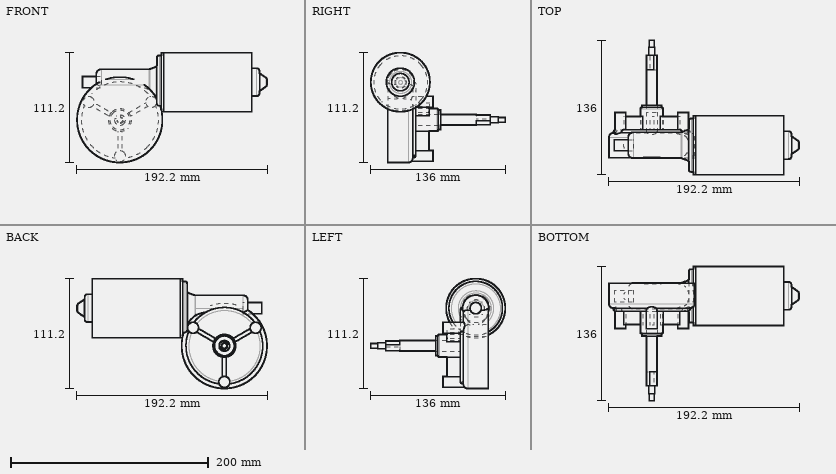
import cadquery as cq
import math


overall_length = 192.2

drum_radius = 43.2
drum_drop = 38.0
drum_front = -12.9
drum_shoulder = 12.5
rim_fillet = 4.5
plateau_radius = drum_radius - rim_fillet
plateau_back = 15.8
plateau_fillet = 2.9

tube_radius = 26.3 / 2
tube_start = -23.8
tube_fillet = 5.2
flare_start = 29.8
flare_end = 36.3
flare_radius = 15.5
flare_root_fillet = 2.0
flare_foot_radius = 17.9

flange_face = 37.5
flange_radius = 27.1
flange_fillet = 2.3
flange_step = 42.0
flange_back = 44.5

can_radius = 30.0
can_end = 133.5
tail_radius = 14.2
tail_end = 141.3
tail_fillet = 3.0
cone_start = 141.6
cone_radius = 8.8
cone_tip_radius = 3.8
cone_tip_fillet = 3.5
motor_end = overall_length - drum_radius

post_count = 3
first_post_angle = 30
post_circle_radius = 36.5
post_radius = 5.5
post_end = 33.0
rib_thickness = 4.0
rib_end = 29.0
boss_radius = 11.5
boss_end = 38.2
boss_fillet = 1.3
collar_radius = 10.0
collar_end = 40.5

shaft_radius = 10.8 / 2
shaft_end = 90.9
neck_radius = 6.3 / 2
neck_end = 99.0
tip_radius = 5.2 / 2
tip_end = 106.0
flat_start = 76.5
flat_width = 7.0
flat_angle = first_post_angle + 90

worm_radius = 5.8
worm_start = -37.9
worm_seat = tube_start + tube_fillet


def gearbox_cylinder(radius, y_start, y_end):
    """Cylinder on the gearbox centre, along Y."""
    return (
        cq.Workplane("XZ", origin=(0, y_start, -drum_drop))
        .circle(radius)
        .extrude(y_start - y_end)
    )


def motor_cylinder(radius, x_start, x_end):
    """Cylinder on the motor axis, along X."""
    return cq.Workplane("YZ", origin=(x_start, 0, 0)).circle(radius).extrude(x_end - x_start)


def turn_about_gearbox(shape, angle):
    """Turn a shape about the gearbox centre, positive from +X towards +Z."""
    return shape.rotate((0, 0, -drum_drop), (0, -1, -drum_drop), angle)


def make_drum():
    """Round gearbox body with a rounded rim and a raised back."""
    rim = gearbox_cylinder(drum_radius, drum_front, drum_shoulder).faces(">Y").edges().fillet(rim_fillet)
    plateau = gearbox_cylinder(plateau_radius, drum_front, plateau_back)
    plateau = plateau.faces(">Y").edges().fillet(plateau_fillet)
    return rim.union(plateau)


def make_tube_and_flange():
    """Worm tube, flare and motor flange turned about the motor axis."""
    tube_middle = tube_fillet * (1 - math.sqrt(0.5))
    flange_middle = flange_fillet * (1 - math.sqrt(0.5))
    profile = (
        cq.Workplane("XY")
        .moveTo(tube_start, 0)
        .lineTo(tube_start, tube_radius - tube_fillet)
        .threePointArc(
            (tube_start + tube_middle, tube_radius - tube_middle),
            (tube_start + tube_fillet, tube_radius),
        )
        .lineTo(flare_start, tube_radius)
        .lineTo(flare_end, flare_radius)
        .tangentArcPoint((flange_face, flare_foot_radius), relative=False)
        .lineTo(flange_face, flange_radius - flange_fillet)
        .threePointArc(
            (flange_face + flange_middle, flange_radius - flange_middle),
            (flange_face + flange_fillet, flange_radius),
        )
        .lineTo(flange_step, flange_radius)
        .lineTo(flange_step, can_radius)
        .lineTo(flange_back, can_radius)
        .lineTo(flange_back, 0)
        .close()
    )
    body = profile.revolve(360, (0, 0, 0), (1, 0, 0))
    flare_root = cq.selectors.NearestToPointSelector((flare_start, 0, 0))
    return body.edges(flare_root).fillet(flare_root_fillet)


def make_boss():
    """Bearing boss for the output shaft, with a collar on its end."""
    boss = gearbox_cylinder(boss_radius, 0, boss_end).faces(">Y").edges().fillet(boss_fillet)
    collar = gearbox_cylinder(collar_radius, 0, collar_end)
    return boss.union(collar)


def make_post_with_rib(angle):
    """Mounting post and the rib that ties it to the bearing boss."""
    post = gearbox_cylinder(post_radius, 0, post_end).translate((post_circle_radius, 0, 0))
    rib = cq.Workplane("XY").box(post_circle_radius, rib_end, rib_thickness, centered=(False, False, True))
    rib = rib.translate((0, 0, -drum_drop))
    return turn_about_gearbox(post.union(rib), angle)


def make_housing():
    """Gearbox, worm tube, flange, boss and posts, bored for both shafts."""
    housing = make_drum().union(make_tube_and_flange()).union(make_boss())
    for index in range(post_count):
        angle = first_post_angle + index * 360 / post_count
        housing = housing.union(make_post_with_rib(angle))
    shaft_bore = gearbox_cylinder(shaft_radius, plateau_back, collar_end)
    worm_bore = motor_cylinder(worm_radius, worm_start, worm_seat)
    return housing.cut(shaft_bore).cut(worm_bore)


def make_motor():
    """Motor can with its stepped tail and cone."""
    can = motor_cylinder(can_radius, flange_back, can_end)
    tail = motor_cylinder(tail_radius, can_end, tail_end).faces(">X").edges().fillet(tail_fillet)
    cone = (
        cq.Workplane("XY")
        .moveTo(tail_end, 0)
        .lineTo(tail_end, cone_radius)
        .lineTo(cone_start, cone_radius)
        .lineTo(motor_end, cone_tip_radius)
        .lineTo(motor_end, 0)
        .close()
        .revolve(360, (0, 0, 0), (1, 0, 0))
        .faces(">X")
        .edges()
        .fillet(cone_tip_fillet)
    )
    return can.union(tail).union(cone)


def make_output_shaft():
    """Stepped shaft with two parallel flats at its outer end."""
    shaft = gearbox_cylinder(shaft_radius, plateau_back, shaft_end)
    flat_cut = cq.Workplane("XY").box(
        shaft_radius, shaft_end - flat_start, 2 * shaft_radius, centered=(False, False, True)
    )
    flat_cut = flat_cut.translate((flat_width / 2, flat_start, -drum_drop))
    for angle in (flat_angle, flat_angle + 180):
        shaft = shaft.cut(turn_about_gearbox(flat_cut, angle))
    neck = gearbox_cylinder(neck_radius, shaft_end, neck_end)
    tip = gearbox_cylinder(tip_radius, neck_end, tip_end)
    return shaft.union(neck).union(tip)


def make_worm_shaft():
    """Plain end of the worm shaft, seated in the worm tube."""
    return motor_cylinder(worm_radius, worm_start, worm_seat)


housing = make_housing()
motor = make_motor()
output_shaft = make_output_shaft()
worm_shaft = make_worm_shaft()

result = cq.Compound.makeCompound(
    [housing.val(), motor.val(), output_shaft.val(), worm_shaft.val()]
)